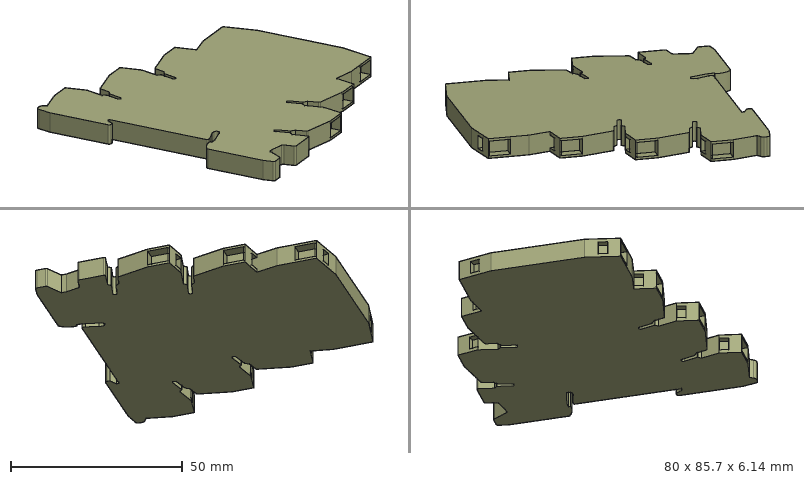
import cadquery as cq
import math


height = 85.7
thickness = 6.14
mid_z = thickness / 2

head_half_width = 24.45
head_top_half_width = 14.2
head_shoulder_y = 83.4

terrace_step_out = 7.0
terrace_step_down = 20.9
half_widths = [29.5 + terrace_step_out * i for i in range(3)]
shoulder_ys = [63.1 - terrace_step_down * i for i in range(3)]
face_height = 6.7
lip_inset = 2.3
lip_drop = 16.8
crest_inset = 6.45
crest_rise = 1.35

gap_tilt = 15.0
slit_width = 1.25
slit_mouth_inset = 6.5
slit_mouth_drop = 19.55
slit_length = 4.2
lip_length = 3.6
lip_radius = 0.5
lower_edge_setback = 0.3
notch_inset = 5.2
notch_drop = 20.95

right_x = half_widths[1]
left_x = -half_widths[2]
rail_y = 6.1
left_foot_y = 2.5
arm_top = (right_x, 22.35)
arm_bottom = (right_x, 13.8)
arm_root = (32.6, 13.0)
heel_top = (right_x, 4.2)
heel_bottom = (right_x, 0.7)
latch_toe = (14.65, 0)
rail_corner = (11.6, rail_y)
hook_toe = (-18.75, left_foot_y)
large_radius = 0.6
medium_radius = 0.4
small_radius = 0.3

window_top_gap = 0.4
window_length = 6.3
window_width = 4.6
window_depth = 3.1

roof_length = math.hypot(crest_inset, crest_rise)
marker_length = 2.8
marker_width = 3.95
marker_depth = 2.0


def tilted(length, angle):
    """X and Y parts of a length laid at an angle in degrees."""
    return (
        length * math.cos(math.radians(angle)),
        length * math.sin(math.radians(angle)),
    )


def slit_mouth(half_width, shoulder_y):
    """Centre of the slit mouth below a terrace, on the +X side."""
    return half_width - slit_mouth_inset, shoulder_y - slit_mouth_drop


def terrace_points(half_width, shoulder_y):
    """Face of a terrace on the +X side, from shoulder to lower lip."""
    return [
        (half_width, shoulder_y),
        (half_width, shoulder_y - face_height),
        (half_width - lip_inset, shoulder_y - lip_drop),
    ]


def gap_points(half_width, shoulder_y):
    """Gap below a terrace on the +X side, from its lip to the notch in the next roof."""
    lip_run, lip_fall = tilted(lip_length, gap_tilt)
    mouth_x, mouth_y = slit_mouth(half_width, shoulder_y)
    side_x, side_y = tilted(slit_width / 2, 90 + gap_tilt)
    return [
        (half_width - lip_inset - lip_run, shoulder_y - lip_drop - lip_fall),
        (mouth_x + side_x, mouth_y + side_y),
        (mouth_x - side_x + lower_edge_setback, mouth_y - side_y),
        (half_width - notch_inset, shoulder_y - notch_drop),
    ]


def crest_point(half_width, shoulder_y):
    """Highest point of a terrace roof on the +X side."""
    return half_width - crest_inset, shoulder_y + crest_rise


def side_points():
    """Outline shared by both sides: head, two terraces and the gaps below them."""
    neck_x, neck_y = crest_point(half_widths[0], shoulder_ys[0])
    neck_height = (head_half_width - neck_x) * crest_inset / crest_rise
    points = [
        (head_top_half_width, height),
        (head_half_width, head_shoulder_y),
        (head_half_width, neck_y + neck_height),
        (neck_x, neck_y),
    ]
    points += terrace_points(half_widths[0], shoulder_ys[0])
    points += gap_points(half_widths[0], shoulder_ys[0])
    points.append(crest_point(half_widths[1], shoulder_ys[1]))
    points += terrace_points(half_widths[1], shoulder_ys[1])
    points += gap_points(half_widths[1], shoulder_ys[1])
    return points


def make_plate():
    right_side = side_points()
    left_side = [(-x, y) for x, y in reversed(right_side)]
    crest_x, crest_y = crest_point(half_widths[2], shoulder_ys[2])
    outline = (
        cq.Workplane("XY")
        .polyline(right_side)
        .lineTo(*arm_top)
        .lineTo(*arm_bottom)
        .lineTo(*arm_root)
        .lineTo(31.6, 8.6)
        .lineTo(31.6, 7.0)
        .lineTo(*heel_top)
        .lineTo(*heel_bottom)
        .lineTo(33.0, 0)
        .lineTo(*latch_toe)
        .threePointArc((13.2, 2.3), (12.8, 5.2))
        .lineTo(13.45, 5.2)
        .lineTo(13.45, 7.0)
        .lineTo(12.05, 12.4)
        .threePointArc((11.1, 13.1), (10.35, 12.4))
        .lineTo(10.35, 11.1)
        .lineTo(11.6, 7.4)
        .lineTo(*rail_corner)
        .lineTo(-20.95, rail_y)
        .lineTo(-20.95, 5.3)
        .lineTo(-18.75, 4.0)
        .lineTo(*hook_toe)
        .lineTo(-38.6, left_foot_y)
        .lineTo(-42.6, 3.3)
        .threePointArc((-43.3, 3.7), (left_x, 4.4))
        .lineTo(left_x, 5.3)
        .threePointArc((-43.3, 5.85), (-42.85, 6.25))
        .lineTo(-41.8, 7.0)
        .lineTo(left_x, shoulder_ys[2] - face_height)
        .lineTo(left_x, shoulder_ys[2])
        .lineTo(-crest_x, crest_y)
    )
    for point in left_side:
        outline = outline.lineTo(*point)
    return outline.close().extrude(thickness)


def round_corner(body, x, y, radius):
    """Round the upright edge that stands at (x, y)."""
    corner = cq.selectors.NearestToPointSelector((x, y, mid_z))
    return body.edges("|Z").edges(corner).fillet(radius)


def make_slit(half_width, shoulder_y, side):
    """Round-ended slit running inward and down from the bottom of a gap."""
    mouth_x, mouth_y = slit_mouth(half_width, shoulder_y)
    run, fall = tilted(slit_length / 2, gap_tilt)
    return (
        cq.Workplane("XY")
        .center(side * (mouth_x - run), mouth_y - fall)
        .slot2D(slit_length + slit_width, slit_width, side * gap_tilt)
        .extrude(thickness)
    )


def make_window(half_width, shoulder_y, side):
    """Wire opening in the upright face of a terrace."""
    return cq.Workplane("XY").box(2 * window_depth, window_length, window_width).translate(
        (side * half_width, shoulder_y - window_top_gap - window_length / 2, mid_z)
    )


def make_marker_pocket(half_width, shoulder_y, side):
    """Marker pocket square to the sloping roof of a terrace."""
    roof_angle = math.degrees(math.atan2(crest_rise, crest_inset))
    along, rise = tilted(roof_length - marker_length / 2, roof_angle)
    return (
        cq.Workplane("XY")
        .box(marker_length, 2 * marker_depth, marker_width)
        .rotate((0, 0, 0), (0, 0, 1), -side * roof_angle)
        .translate((side * (half_width - along), shoulder_y + rise, mid_z))
    )


result = make_plate()

rounded_corners = [
    (arm_top, medium_radius),
    (arm_bottom, large_radius),
    (arm_root, large_radius),
    (heel_top, large_radius),
    (heel_bottom, large_radius),
    (latch_toe, large_radius),
    (rail_corner, small_radius),
    (hook_toe, large_radius),
]
for (corner_x, corner_y), corner_radius in rounded_corners:
    result = round_corner(result, corner_x, corner_y, corner_radius)

shoulders = [(head_half_width, head_shoulder_y)] + list(zip(half_widths, shoulder_ys))
for side in (-1, 1):
    for half_width, shoulder_y in shoulders[1:3]:
        lip_x = side * (half_width - lip_inset)
        result = round_corner(result, lip_x, shoulder_y - lip_drop, lip_radius)
        result = result.cut(make_slit(half_width, shoulder_y, side))
    equipped = shoulders if side < 0 else shoulders[:3]
    for half_width, shoulder_y in equipped:
        result = result.cut(make_window(half_width, shoulder_y, side))
        result = result.cut(make_marker_pocket(half_width, shoulder_y, side))